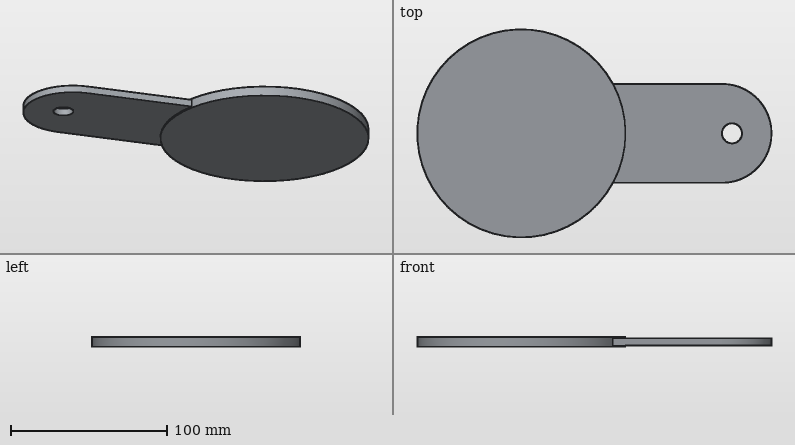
import cadquery as cq

disc_diameter = 133.35
disc_thickness = 6.35

overall_length = 226.91
handle_width = 63.5
handle_thickness = 4.76
hole_diameter = 12.7
hole_to_tip = 25.4

handle_end_radius = handle_width / 2
handle_tip_x = overall_length - disc_diameter / 2
handle_arc_x = handle_tip_x - handle_end_radius
hole_x = handle_tip_x - hole_to_tip


def make_disc():
    return cq.Workplane("XY").circle(disc_diameter / 2).extrude(disc_thickness / 2, both=True)


def make_handle():
    """Handle running from the disc centre to its rounded tip, with a hanging hole."""
    blank = (
        cq.Workplane("XY")
        .moveTo(0, -handle_end_radius)
        .lineTo(handle_arc_x, -handle_end_radius)
        .threePointArc((handle_tip_x, 0), (handle_arc_x, handle_end_radius))
        .lineTo(0, handle_end_radius)
        .close()
        .extrude(handle_thickness / 2, both=True)
    )
    hole = (
        cq.Workplane("XY")
        .center(hole_x, 0)
        .circle(hole_diameter / 2)
        .extrude(handle_thickness, both=True)
    )
    return blank.cut(hole)


result = make_disc().union(make_handle())